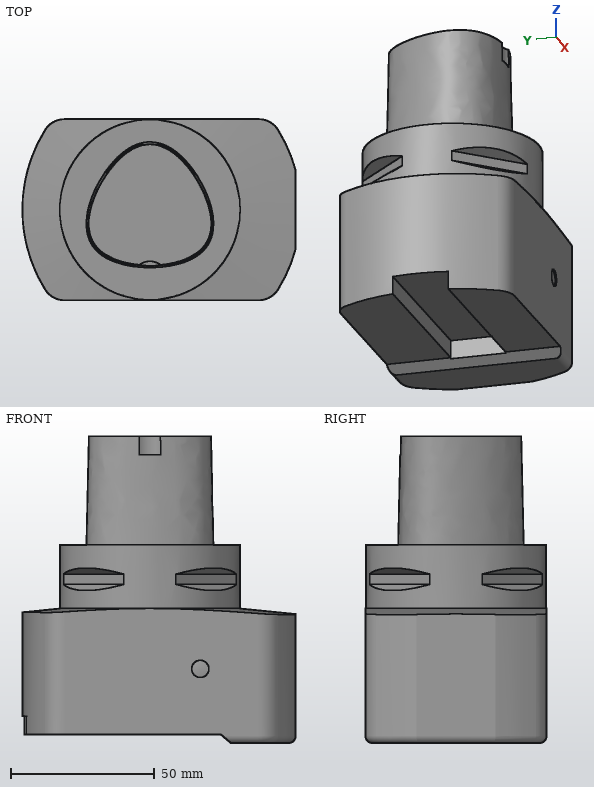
import cadquery as cq
import math


shank_height = 38.0
shank_base_radius = 22.0
shank_top_radius = 21.1
shank_lobe_offset = 1.7
key_diameter = 12.0
key_axis_y = -24.0
key_depth = 6.5

collar_radius = 63.0 / 2
collar_height = 22.2
groove_z = -12.0
groove_floor_radius = 27.8
groove_floor_height = 3.5
groove_flank_angle = 30

body_width = 63.4
body_left = -44.6
body_right = 50.9
body_arc_radius = 52.7
body_corner_radius = 8.0
body_bottom = -66.2
body_top_slope = 0.1

overall_height = 107.2
foot_bottom = shank_height - overall_height
foot_start_x = 24.8
foot_flank_run = 3.5
foot_edge_radius = 2.6

slot_width = 20.0
slot_center_y = -1.7
slot_height = 6.4
slot_end_x = 25.1

plug_x = 17.6
plug_z = -43.3
plug_seat_diameter = 6.0
plug_diameter = 5.1
plug_seat_depth = 0.5
plug_dome_radius = 26.0 / 2


def lobed_outline(radius, z):
    """Closed three-lobed curve with one lobe towards +Y."""

    def point(t):
        angle = 2 * math.pi * t
        x = radius * math.sin(angle) - shank_lobe_offset * math.sin(2 * angle)
        y = radius * math.cos(angle) + shank_lobe_offset * math.cos(2 * angle)
        return x, y, z

    samples = 48
    points = [cq.Vector(*point(i / samples)) for i in range(samples)]
    edge = cq.Edge.makeSpline(points, periodic=True)
    return cq.Wire.assembleEdges([edge])


def make_shank():
    base = lobed_outline(shank_base_radius, 0)
    top = lobed_outline(shank_top_radius, shank_height)
    shank = cq.Workplane(cq.Solid.makeLoft([base, top], True))
    key = (
        cq.Workplane("XY", origin=(0, key_axis_y, shank_height - key_depth))
        .circle(key_diameter / 2)
        .extrude(key_depth)
    )
    return shank.cut(key)


def make_collar():
    collar = cq.Workplane("XY").circle(collar_radius).extrude(-collar_height)
    reach = collar_radius - groove_floor_radius + 1.1
    half_floor = groove_floor_height / 2
    half_mouth = half_floor + reach * math.tan(math.radians(groove_flank_angle))
    outer = groove_floor_radius + reach
    cutter = (
        cq.Workplane("XZ")
        .polyline([
            (groove_floor_radius, groove_z - half_floor),
            (outer, groove_z - half_mouth),
            (outer, groove_z + half_mouth),
            (groove_floor_radius, groove_z + half_floor),
        ])
        .close()
        .extrude(collar_radius, both=True)
    )
    for angle in (45, 135, 225, 315):
        collar = collar.cut(cutter.rotate((0, 0, 0), (0, 0, 1), angle))
    return collar


def bulged_prism(bottom, top):
    """Prism with two flat sides, bulged ends and rounded corners."""
    half_width = body_width / 2
    left_center = body_left + body_arc_radius
    half_chord = math.sqrt(body_arc_radius**2 - half_width**2)
    left_corner = left_center - half_chord
    return (
        cq.Workplane("XY", origin=(0, 0, bottom))
        .moveTo(left_corner, -half_width)
        .lineTo(half_chord, -half_width)
        .threePointArc((body_arc_radius, 0), (half_chord, half_width))
        .lineTo(left_corner, half_width)
        .threePointArc((body_left, 0), (left_corner, -half_width))
        .close()
        .extrude(top - bottom)
        .edges("|Z")
        .fillet(body_corner_radius)
    )


def end_trim(bottom, top):
    """Block whose right face is the flat that cuts off the right bulge."""
    length = body_right - body_left
    block = cq.Workplane("XY").box(length, body_width, top - bottom, centered=(False, True, False))
    return block.translate((body_left, 0, bottom))


def make_body():
    body = bulged_prism(body_bottom, -collar_height)
    body = body.intersect(end_trim(body_bottom, -collar_height))
    cone_radius = body_arc_radius + 1.1
    cone_drop = (cone_radius - collar_radius) * body_top_slope
    envelope = (
        cq.Workplane("XZ")
        .moveTo(0, body_bottom)
        .lineTo(cone_radius, body_bottom)
        .lineTo(cone_radius, -collar_height - cone_drop)
        .lineTo(collar_radius, -collar_height)
        .lineTo(0, -collar_height)
        .close()
        .revolve(360, (0, 0, 0), (0, 1, 0))
    )
    return body.intersect(envelope)


def make_foot():
    overlap_top = body_bottom + slot_height
    foot = bulged_prism(foot_bottom, overlap_top).faces("<Z").edges().fillet(foot_edge_radius)
    rounded_end = end_trim(foot_bottom, overlap_top).edges(">X and <Z").fillet(foot_edge_radius)
    foot = foot.intersect(rounded_end)
    flank = (
        cq.Workplane("XZ")
        .moveTo(foot_start_x, overlap_top)
        .lineTo(foot_start_x, body_bottom)
        .lineTo(foot_start_x + foot_flank_run, foot_bottom)
        .lineTo(body_right, foot_bottom)
        .lineTo(body_right, overlap_top)
        .close()
        .extrude(body_width / 2, both=True)
    )
    return foot.intersect(flank)


def make_slot():
    length = slot_end_x - body_left
    height = body_bottom + slot_height - foot_bottom
    slot = cq.Workplane("XY").box(length, slot_width, height, centered=(False, True, False))
    return slot.translate((body_left, slot_center_y, foot_bottom))


def make_plug_seat():
    """Shallow recess around a plug whose domed end stays below the front face."""
    front = cq.Workplane("XZ", origin=(plug_x, -body_width / 2, plug_z))
    seat = front.circle(plug_seat_diameter / 2).extrude(-plug_seat_depth)
    plug = front.circle(plug_diameter / 2).extrude(-plug_seat_depth)
    rim_setback = math.sqrt(plug_dome_radius**2 - (plug_diameter / 2) ** 2)
    dome_center_y = -body_width / 2 + plug_seat_depth + rim_setback
    dome = cq.Workplane("XY", origin=(plug_x, dome_center_y, plug_z)).sphere(plug_dome_radius)
    return seat.cut(plug.intersect(dome))


result = make_body().union(make_foot()).union(make_collar()).union(make_shank())
result = result.cut(make_slot()).cut(make_plug_seat())